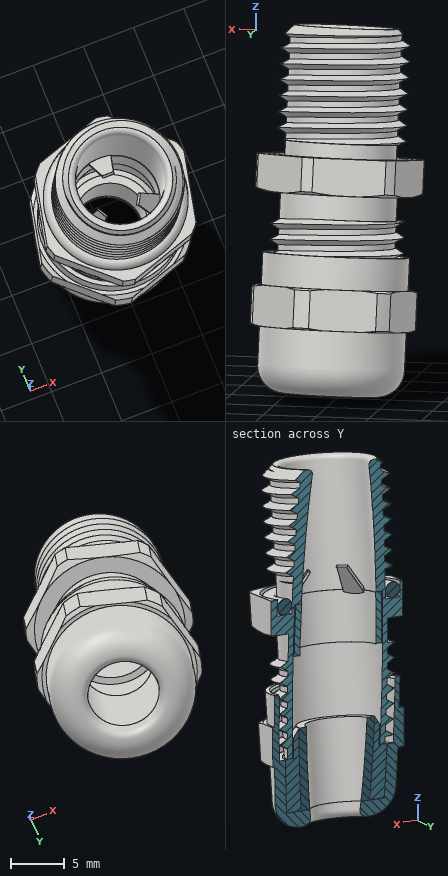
import cadquery as cq
import math


tilt_about_x = 8.4
tilt_about_y = -1.0

gland_length = 34.17
hex_top = gland_length - 12.05
hex_height = 3.45
hex_bottom = hex_top - hex_height
body_bottom = 6.7
contact_top = gland_length - 12.8
contact_bottom = contact_top - 4.93

across_flats = 14.0
body_hex_corner_diameter = 15.55
nut_hex_corner_diameter = 15.35
hex_spin = -12.0
body_hex_chamfer_diameter = 14.0
nut_hex_chamfer_diameter = 14.43
hex_chamfer_angle = 20.0

bore_diameter = 8.3
counterbore_diameter = 9.68
upper_root_diameter = 10.38
lower_root_diameter = 10.87
rim_diameter = 9.68
rim_fillet = 0.55
rim_chamfer_height = 1.23

pitch = 1.48
upper_crest_diameter = 12.0
lower_crest_diameter = 12.5
thread_flank_angle = 30.0
ridge_embed = 0.07
upper_thread_bottom = hex_top + 1.35
upper_thread_bottom_angle = 106.0
lower_thread_bottom = body_bottom + 0.7
lower_thread_top = hex_bottom - 2.3
lower_thread_top_angle = 194.0

oring_outer_diameter = 13.45
oring_section_diameter = (oring_outer_diameter - upper_root_diameter) / 2
oring_recess_depth = oring_section_diameter

nut_diameter = 13.65
nut_height = 13.02
nut_hex_bottom = 6.15
nut_hex_height = 3.85
nut_end_fillet = 2.55
nut_bore_diameter = 12.53
nut_mouth_diameter = 12.8
nut_mouth_chamfer = 0.2
nut_seat_diameter = 11.23
nut_floor = 1.6
nut_hole_diameter = 6.7
nut_hole_fillet = 0.77

seal_top = 9.55
seal_bore_diameter = 6.7
seal_diameter = 8.3
cage_diameter = 9.57
cage_taper_height = 0.88

contact_bore_diameter = 8.25
contact_diameter = 9.57
finger_count = 3
finger_first_angle = 90.0
finger_tip_radius = 2.18
finger_rise = 2.65
finger_root_width = 2.32
finger_tip_width = 1.13
finger_thickness = 0.2


def disc(diameter, bottom, height):
    return cq.Workplane("XY", origin=(0, 0, bottom)).circle(diameter / 2).extrude(height)


def tube(outer, inner, bottom, height):
    return disc(outer, bottom, height).cut(disc(inner, bottom, height))


def hexagon(corner_diameter, chamfer_diameter, bottom, height, chamfer_top):
    """Hexagonal prism with its corners turned down and conical chamfers on its end faces."""
    top = bottom + height
    prism = (
        cq.Workplane("XY", origin=(0, 0, bottom))
        .polygon(6, across_flats, circumscribed=True)
        .extrude(height)
        .rotate((0, 0, 0), (0, 0, 1), hex_spin)
    )
    corner_radius = corner_diameter / 2
    chamfer_radius = chamfer_diameter / 2
    chamfer_rise = (corner_radius - chamfer_radius) * math.tan(math.radians(hex_chamfer_angle))
    turned_outline = [(0, bottom), (chamfer_radius, bottom), (corner_radius, bottom + chamfer_rise)]
    if chamfer_top:
        turned_outline += [(corner_radius, top - chamfer_rise), (chamfer_radius, top), (0, top)]
    else:
        turned_outline += [(corner_radius, top), (0, top)]
    turned = cq.Workplane("XZ").polyline(turned_outline).close().revolve(360, (0, 0), (0, 1))
    return prism.intersect(turned)


def thread_ridge(root_diameter, crest_diameter, bottom, top, bottom_angle):
    """Triangular helical ridge cut off flat at both ends; its crest meets `bottom` at `bottom_angle`."""
    base_radius = root_diameter / 2 - ridge_embed
    crest_radius = crest_diameter / 2
    half_base = (crest_radius - base_radius) * math.tan(math.radians(thread_flank_angle))
    path = cq.Wire.makeHelix(pitch, top - bottom + pitch, base_radius)
    ridge = (
        cq.Workplane("XZ")
        .polyline([(base_radius, -half_base), (crest_radius, 0), (base_radius, half_base)])
        .close()
        .sweep(cq.Workplane(obj=path), isFrenet=True)
    )
    ridge = ridge.rotate((0, 0, 0), (0, 0, 1), bottom_angle - 180).translate((0, 0, bottom - pitch / 2))
    return ridge.intersect(disc(2 * crest_diameter, bottom, top - bottom))


def rim_envelope():
    """Solid of revolution that bevels the free end of the upper thread."""
    rim_radius = rim_diameter / 2
    return (
        cq.Workplane("XZ")
        .polyline([
            (0, 0),
            (across_flats, 0),
            (across_flats, gland_length - rim_chamfer_height),
            (rim_radius + rim_chamfer_height, gland_length - rim_chamfer_height),
            (rim_radius, gland_length),
            (0, gland_length),
        ])
        .close()
        .revolve(360, (0, 0), (0, 1))
    )


def make_body():
    upper_thread = thread_ridge(
        upper_root_diameter,
        upper_crest_diameter,
        upper_thread_bottom,
        gland_length,
        upper_thread_bottom_angle,
    )
    upper = disc(upper_root_diameter, hex_bottom, gland_length - hex_bottom).intersect(rim_envelope())
    upper = upper.union(upper_thread.intersect(rim_envelope()))

    lower_thread_turns = (lower_thread_top - lower_thread_bottom) / pitch
    lower = disc(lower_root_diameter, body_bottom, hex_bottom - body_bottom)
    lower = lower.union(
        thread_ridge(
            lower_root_diameter,
            lower_crest_diameter,
            lower_thread_bottom,
            lower_thread_top,
            lower_thread_top_angle - 360 * lower_thread_turns,
        )
    )

    oring_recess = tube(
        oring_outer_diameter, upper_root_diameter, hex_top - oring_recess_depth, oring_recess_depth
    )
    collar = hexagon(
        body_hex_corner_diameter, body_hex_chamfer_diameter, hex_bottom, hex_height, chamfer_top=False
    ).cut(oring_recess)

    body = collar.union(upper).union(lower)
    body = body.cut(disc(bore_diameter, body_bottom, gland_length - body_bottom))
    body = body.cut(disc(counterbore_diameter, body_bottom, contact_top - body_bottom))
    rim_edge = cq.selectors.BoxSelector(
        (-bore_diameter, -bore_diameter, gland_length - 0.005),
        (bore_diameter, bore_diameter, gland_length + 0.005),
    )
    return body.edges(rim_edge).edges("%CIRCLE").edges(cq.selectors.RadiusNthSelector(0)).fillet(rim_fillet)


def make_oring():
    section_radius = oring_section_diameter / 2
    ring_radius = oring_outer_diameter / 2 - section_radius
    centre_height = hex_top - oring_recess_depth + section_radius
    return (
        cq.Workplane("XZ")
        .center(ring_radius, centre_height)
        .circle(section_radius)
        .revolve(360, (-ring_radius, 0), (-ring_radius, 1))
    )


def make_nut():
    shell = disc(nut_diameter, 0, nut_height).faces("<Z").edges().fillet(nut_end_fillet)
    shell = shell.union(
        hexagon(
            nut_hex_corner_diameter,
            nut_hex_chamfer_diameter,
            nut_hex_bottom,
            nut_hex_height,
            chamfer_top=True,
        )
    )
    shell = shell.cut(disc(nut_hole_diameter, 0, nut_height))
    hole_edge = cq.selectors.RadiusNthSelector(0)
    shell = shell.faces("<Z").edges("%CIRCLE").edges(hole_edge).fillet(nut_hole_fillet)
    shell = shell.cut(disc(nut_seat_diameter, nut_floor, nut_height))
    shell = shell.cut(disc(nut_bore_diameter, body_bottom, nut_height))
    mouth = cq.Workplane(
        cq.Solid.makeCone(
            nut_bore_diameter / 2,
            nut_mouth_diameter / 2,
            nut_mouth_chamfer,
            pnt=cq.Vector(0, 0, nut_height - nut_mouth_chamfer),
        )
    )
    return shell.cut(mouth)


def make_cage():
    inner = seal_diameter / 2
    outer = cage_diameter / 2
    flange = nut_seat_diameter / 2
    return (
        cq.Workplane("XZ")
        .polyline([
            (inner, nut_floor),
            (flange, nut_floor),
            (flange, body_bottom),
            (outer, body_bottom),
            (outer, seal_top - cage_taper_height),
            (inner, seal_top),
        ])
        .close()
        .revolve(360, (0, 0), (0, 1))
    )


def make_seal():
    return tube(seal_diameter, seal_bore_diameter, nut_floor, seal_top - nut_floor)


def contact_finger():
    """Tapered leaf that leans from the contact ring towards the axis, pointing along +X."""
    root_radius = bore_diameter / 2
    lean = finger_rise / (root_radius - finger_tip_radius)
    overrun = 0.35
    outer_radius = root_radius + overrun
    outer_height = contact_top - lean * overrun
    tip_height = contact_top + finger_rise
    slab = (
        cq.Workplane("XZ")
        .polyline([
            (outer_radius, outer_height),
            (finger_tip_radius, tip_height),
            (finger_tip_radius - finger_thickness, tip_height - finger_thickness / lean),
            (outer_radius - finger_thickness, outer_height - finger_thickness / lean),
        ])
        .close()
        .extrude(finger_root_width, both=True)
    )
    plan = (
        cq.Workplane("XY", origin=(0, 0, contact_bottom))
        .polyline([
            (0, -finger_tip_width / 2),
            (finger_tip_radius, -finger_tip_width / 2),
            (root_radius, -finger_root_width / 2),
            (root_radius, finger_root_width / 2),
            (finger_tip_radius, finger_tip_width / 2),
            (0, finger_tip_width / 2),
        ])
        .close()
        .extrude(gland_length)
    )
    leaf = slab.intersect(plan)
    return leaf.intersect(disc(bore_diameter, contact_bottom, gland_length))


def make_contact_ring():
    ring = tube(contact_diameter, contact_bore_diameter, contact_bottom, contact_top - contact_bottom)
    for index in range(finger_count):
        angle = finger_first_angle + index * 360 / finger_count
        ring = ring.union(contact_finger().rotate((0, 0, 0), (0, 0, 1), angle))
    return ring


def tilted(part):
    leaned = part.rotate((0, 0, 0), (1, 0, 0), tilt_about_x)
    return leaned.rotate((0, 0, 0), (0, 1, 0), tilt_about_y).val()


body = make_body()
nut = make_nut()
oring = make_oring()
contact_ring = make_contact_ring()
cage = make_cage()
seal = make_seal()

result = cq.Compound.makeCompound([
    tilted(body),
    tilted(nut),
    tilted(oring),
    tilted(contact_ring),
    tilted(cage),
    tilted(seal),
])